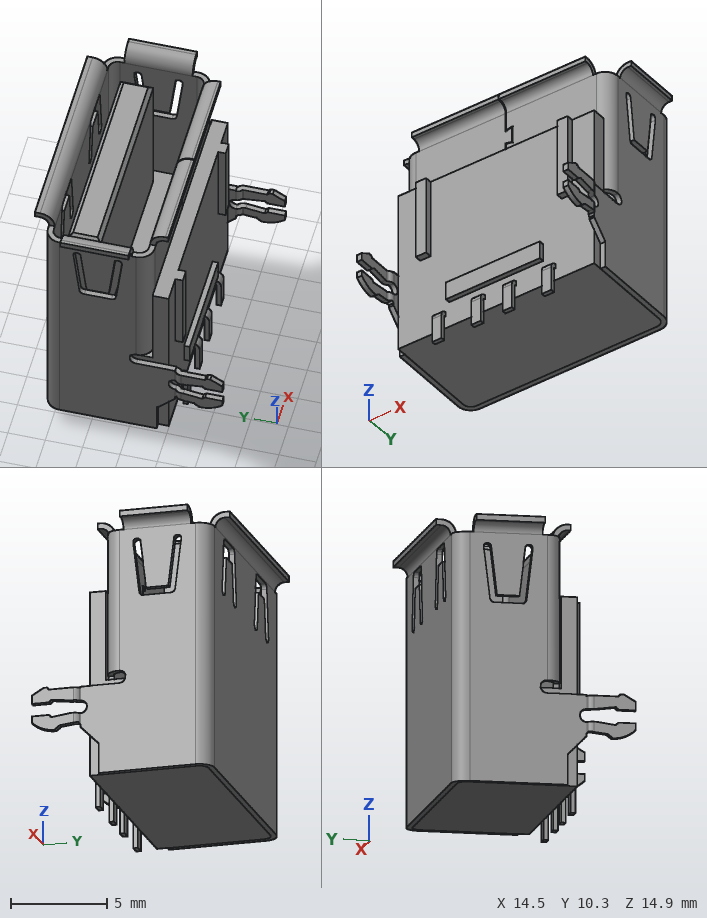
import cadquery as cq
import math

DIAGONAL = math.sqrt(0.5)

SHEET = 0.31
SHELL_X = 13.13
SHELL_Y = 5.72
SHELL_TOP = 13.2
CORNER_R = 0.8
HALF_X = SHELL_X / 2
HALF_Y = SHELL_Y / 2
INNER_X = HALF_X - SHEET
INNER_Y = HALF_Y - SHEET
INNER_CORNER_R = CORNER_R - SHEET
FRONT_TANGENT_Y = CORNER_R - HALF_Y

LIP_R = 0.49
LONG_LIP = 11.09
SIDE_LIP = 3.65
BACK_LIP_FLAT = 0.27
FRONT_LIP_FLAT = 0.16
SIDE_LIP_FLAT = 0.2

FINGER_LEAN = 0.12
FINGER_SLOT_LENGTH = 3.13
SIDE_FINGER_HALF = 0.6
SIDE_FINGER_GAP = 0.4
SLOT_END_ROUNDING = 0.48
FINGER_SLOT_CORNER_R = 0.25
SIDE_SLOT_END = 9.5
BACK_FINGER_HALF = 0.54
BACK_FINGER_GAP = 0.55
BACK_TIP_GAP = 0.92
BACK_SLOT_END = 13.11
BACK_FINGER_X = 3.0

SEAM_GAP = 0.06
TAB_Z = 11.62
TAB_REACH = 0.4
TAB_ROOT_HALF = 0.39
TAB_TIP_HALF = 0.48

FLOOR_Z = 5.15
RELIEF_R = 0.35
PANEL_TOP = FLOOR_Z - RELIEF_R
PANEL_Y = -4.14
PANEL_FOOT_Y = -3.16
PANEL_FOOT_Z = 1.62
FORK_Z = 3.71
PRONG_END_Y = -6.72
NECK_Y = -4.62
BARB_Y = -5.8
UPPER_ROOT_Z = 4.75
UPPER_TIP_Z = 4.5
LOWER_ROOT_Z = 2.74
LOWER_TIP_Z = 3.01
UPPER_NOTCH = (-5.65, 4.19)
LOWER_NOTCH = (-5.65, 3.23)
UPPER_PRONG_BARB = [(-6.08, 4.87), (-5.9, 4.87), (-5.78, UPPER_ROOT_Z)]
LOWER_PRONG_UNDERSIDE = [(-4.25, 2.86), (-4.55, 2.82), (-5.22, 2.74), (-5.48, 2.53)]
LOWER_PRONG_ARC_MID = (-6.23, 2.68)
JOG = 0.18
JOG_R = 0.06

PLATE_Y = -3.72
PLATE_TOP = 10.03
TONGUE_X = 11.09
TONGUE_BACK = 1.85
TONGUE_FRONT = 0.09
TONGUE_TOP = 12.72
TONGUE_CHAMFER = 0.22
RIB_X = 4.51
RIB_WIDTH = 0.65
RIB_PROUD = 0.4
KEY_WIDTH = 5.99
KEY_BOTTOM = 1.61
KEY_TOP = 2.71
KEY_PROUD = 0.3

CONTACT_XS = (-3.5, -1.0, 1.0, 3.5)
CONTACT_WIDTH = 0.6
CONTACT_THICK = 0.25
CONTACT_BEND_R = 0.4
CONTACT_BEND_Z = 0.63
CONTACT_END = -0.9


def block(x_min, x_max, y_min, y_max, z_min, z_max):
    """Box given by its limits."""
    size = (x_max - x_min, y_max - y_min, z_max - z_min)
    return cq.Workplane("XY").box(*size, centered=False).translate((x_min, y_min, z_min))


def rounded_prism(width, depth, height, radius):
    """Upright prism with rounded corners, standing on z = 0."""
    return cq.Workplane("XY").rect(width, depth).extrude(height).edges("|Z").fillet(radius)


def lip(wall_face, length, flat):
    """Lip that flares toward +X from a wall whose outer face is at x = wall_face."""
    under_z = SHELL_TOP + LIP_R
    over_z = under_z + SHEET
    flat_x = wall_face + LIP_R
    inner_face = wall_face - SHEET
    big_r = LIP_R + SHEET
    return (
        cq.Workplane("XZ")
        .moveTo(inner_face, SHELL_TOP)
        .lineTo(wall_face, SHELL_TOP)
        .threePointArc((flat_x - LIP_R * DIAGONAL, SHELL_TOP + LIP_R * DIAGONAL), (flat_x, under_z))
        .lineTo(flat_x + flat, under_z)
        .lineTo(flat_x + flat, over_z)
        .lineTo(flat_x, over_z)
        .threePointArc((flat_x - big_r * DIAGONAL, SHELL_TOP + big_r * DIAGONAL), (inner_face, SHELL_TOP))
        .close()
        .extrude(length / 2, both=True)
    )


def finger_slot(tip_half, gap, tip_gap, depth):
    """U-shaped slot in the XZ plane: bar at z = 0, legs rising and spreading, centred on y = 0."""
    inner_end = tip_half + FINGER_LEAN * (FINGER_SLOT_LENGTH - tip_gap)
    outer_bar = tip_half + gap - FINGER_LEAN * tip_gap
    outer_end = outer_bar + FINGER_LEAN * FINGER_SLOT_LENGTH
    window = (
        cq.Workplane("XZ")
        .polyline([(-outer_bar, 0), (outer_bar, 0), (outer_end, FINGER_SLOT_LENGTH),
                   (-outer_end, FINGER_SLOT_LENGTH)])
        .close()
        .extrude(depth, both=True)
    )
    finger = (
        cq.Workplane("XZ")
        .polyline([(-tip_half, tip_gap), (tip_half, tip_gap), (inner_end, FINGER_SLOT_LENGTH),
                   (-inner_end, FINGER_SLOT_LENGTH)])
        .close()
        .extrude(depth, both=True)
    )
    window = window.edges("|Y and <Z").fillet(FINGER_SLOT_CORNER_R)
    legs = window.cut(finger)
    return legs.edges("|Y and >Z").fillet(SLOT_END_ROUNDING * gap)


def seam():
    """Slit through the front wall that runs around a dovetail tab."""
    left = -SEAM_GAP / 2
    right = SEAM_GAP / 2

    def dovetail(start_x, root_half, tip_half):
        points = [(start_x, TAB_Z - root_half), (start_x + TAB_REACH, TAB_Z - tip_half),
                  (start_x + TAB_REACH, TAB_Z + tip_half), (start_x, TAB_Z + root_half)]
        return cq.Workplane("XZ").polyline(points).close().extrude(SHELL_Y)

    slit = block(left, right, -SHELL_Y, 0, 0, 2 * SHELL_TOP)
    recess = dovetail(right, TAB_ROOT_HALF + SEAM_GAP, TAB_TIP_HALF + SEAM_GAP)
    tab = dovetail(left, TAB_ROOT_HALF, TAB_TIP_HALF)
    return slit.union(recess).cut(tab)


def side_panel():
    """Lower part of the +X wall, extended to the front into two offset prongs."""
    bend_total = 2 * JOG_R + SHEET
    angle = math.acos(1 - JOG / bend_total)
    run = math.sin(angle)
    rise = 1 - math.cos(angle)
    wide_r = JOG_R + SHEET
    jog_end = PANEL_Y - bend_total * run
    plan = (
        cq.Workplane("XY")
        .moveTo(HALF_X, FRONT_TANGENT_Y)
        .lineTo(HALF_X, PANEL_Y)
        .tangentArcPoint((HALF_X + JOG_R * rise, PANEL_Y - JOG_R * run), relative=False)
        .tangentArcPoint((HALF_X + JOG, jog_end), relative=False)
        .lineTo(HALF_X + JOG, PRONG_END_Y)
        .lineTo(INNER_X + JOG, PRONG_END_Y)
        .lineTo(INNER_X + JOG, jog_end)
        .tangentArcPoint((INNER_X + wide_r * rise, PANEL_Y - wide_r * run), relative=False)
        .tangentArcPoint((INNER_X, PANEL_Y), relative=False)
        .lineTo(INNER_X, FRONT_TANGENT_Y)
        .close()
        .extrude(FLOOR_Z)
    )
    fork_bottom = FORK_Z - RELIEF_R
    fork_top = FORK_Z + RELIEF_R
    outline = (
        cq.Workplane("YZ")
        .moveTo(FRONT_TANGENT_Y, 0)
        .lineTo(PANEL_FOOT_Y, 0)
        .lineTo(PANEL_FOOT_Y, PANEL_FOOT_Z)
        .lineTo(PANEL_Y, PANEL_FOOT_Z + PANEL_FOOT_Y - PANEL_Y)
        .lineTo(PANEL_Y, LOWER_ROOT_Z)
        .polyline(LOWER_PRONG_UNDERSIDE, includeCurrent=True)
        .threePointArc(LOWER_PRONG_ARC_MID, (PRONG_END_Y, LOWER_TIP_Z))
        .lineTo(PRONG_END_Y, fork_bottom)
        .lineTo(BARB_Y, fork_bottom)
        .lineTo(*LOWER_NOTCH)
        .lineTo(NECK_Y, fork_bottom)
        .lineTo(PANEL_Y, fork_bottom)
        .threePointArc((PANEL_Y + RELIEF_R, FORK_Z), (PANEL_Y, fork_top))
        .lineTo(NECK_Y, fork_top)
        .lineTo(*UPPER_NOTCH)
        .lineTo(BARB_Y, fork_top)
        .lineTo(PRONG_END_Y, fork_top)
        .lineTo(PRONG_END_Y, UPPER_TIP_Z)
        .polyline(UPPER_PRONG_BARB, includeCurrent=True)
        .lineTo(PANEL_Y, UPPER_ROOT_Z)
        .lineTo(PANEL_Y, PANEL_TOP)
        .lineTo(FRONT_TANGENT_Y, PANEL_TOP)
        .close()
        .extrude(SHELL_X)
    )
    return plan.intersect(outline)


def make_shell():
    """Tube with relief slots, side panels, lips, spring fingers and a front seam, as one folded sheet."""
    shell = rounded_prism(SHELL_X, SHELL_Y, SHELL_TOP, CORNER_R)
    shell = shell.cut(rounded_prism(2 * INNER_X, 2 * INNER_Y, SHELL_TOP, INNER_CORNER_R))
    shell = shell.cut(block(-HALF_X, HALF_X, -HALF_Y, FRONT_TANGENT_Y, 0, FLOOR_Z))
    flat_half = HALF_X - CORNER_R
    relief_end = (
        cq.Workplane("YZ").center(FRONT_TANGENT_Y, FLOOR_Z).circle(RELIEF_R).extrude(HALF_X, both=True)
    )
    relief_end = relief_end.cut(block(-flat_half, flat_half, -SHELL_Y, SHELL_Y, 0, SHELL_TOP))
    shell = shell.cut(relief_end)
    side_slot = finger_slot(SIDE_FINGER_HALF, SIDE_FINGER_GAP, SIDE_FINGER_GAP, SHEET)
    for side in (-1, 1):
        corner = block(flat_half, HALF_X, -HALF_Y, FRONT_TANGENT_Y, 0, FLOOR_Z + RELIEF_R)
        panel = side_panel()
        side_lip = lip(HALF_X, SIDE_LIP, SIDE_LIP_FLAT)
        slot = side_slot.rotate((0, 0, 0), (0, 0, 1), 90).translate((HALF_X, 0, SIDE_SLOT_END))
        if side < 0:
            corner, panel, side_lip, slot = (body.mirror("YZ") for body in (corner, panel, side_lip, slot))
        shell = shell.cut(corner).cut(slot).union(panel).union(side_lip)
    back_lip = lip(HALF_Y, LONG_LIP, BACK_LIP_FLAT).rotate((0, 0, 0), (0, 0, 1), 90)
    front_lip = lip(HALF_Y, LONG_LIP, FRONT_LIP_FLAT).rotate((0, 0, 0), (0, 0, 1), -90)
    shell = shell.union(back_lip).union(front_lip)
    back_slot = finger_slot(BACK_FINGER_HALF, BACK_FINGER_GAP, BACK_TIP_GAP, SHEET).mirror("XY")
    for x in (-BACK_FINGER_X, BACK_FINGER_X):
        shell = shell.cut(back_slot.translate((x, HALF_Y, BACK_SLOT_END)))
    return shell.cut(seam())


def make_insulator():
    """Base that closes the shell, with the front plate, ribs, key and the tongue in the cavity."""
    base = block(-INNER_X, INNER_X, PLATE_Y, INNER_Y, 0, FLOOR_Z)
    base = base.edges("|Z and >Y").fillet(INNER_CORNER_R)
    plate = block(-INNER_X, INNER_X, PLATE_Y, -HALF_Y, 0, PLATE_TOP)
    tongue = block(-TONGUE_X / 2, TONGUE_X / 2, TONGUE_FRONT, TONGUE_BACK, FLOOR_Z, TONGUE_TOP)
    tongue = tongue.faces(">Z").chamfer(TONGUE_CHAMFER)
    key = block(-KEY_WIDTH / 2, KEY_WIDTH / 2, PLATE_Y - KEY_PROUD, PLATE_Y, KEY_BOTTOM, KEY_TOP)
    insulator = base.union(plate).union(tongue).union(key)
    for x in (-RIB_X, RIB_X):
        rib = block(x - RIB_WIDTH / 2, x + RIB_WIDTH / 2, PLATE_Y - RIB_PROUD, PLATE_Y, FLOOR_Z, PLATE_TOP)
        insulator = insulator.union(rib)
    return insulator


def make_contact(x):
    """Terminal that leaves the insulator's front face and bends down past its bottom."""
    outer_y = PLATE_Y - CONTACT_BEND_R
    inner_r = CONTACT_BEND_R - CONTACT_THICK
    return (
        cq.Workplane("YZ", origin=(x, 0, 0))
        .moveTo(PLATE_Y, CONTACT_BEND_Z + CONTACT_BEND_R)
        .threePointArc((PLATE_Y - CONTACT_BEND_R * DIAGONAL, CONTACT_BEND_Z + CONTACT_BEND_R * DIAGONAL),
                       (outer_y, CONTACT_BEND_Z))
        .lineTo(outer_y, CONTACT_END)
        .lineTo(outer_y + CONTACT_THICK, CONTACT_END)
        .lineTo(outer_y + CONTACT_THICK, CONTACT_BEND_Z)
        .threePointArc((PLATE_Y - inner_r * DIAGONAL, CONTACT_BEND_Z + inner_r * DIAGONAL),
                       (PLATE_Y, CONTACT_BEND_Z + inner_r))
        .close()
        .extrude(CONTACT_WIDTH / 2, both=True)
    )


shell = make_shell()
insulator = make_insulator()
contacts = [make_contact(x) for x in CONTACT_XS]

result = cq.Compound.makeCompound([shell.val(), insulator.val(), *[contact.val() for contact in contacts]])